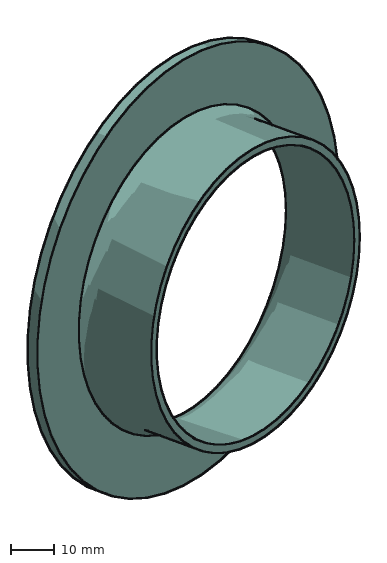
import cadquery as cq
import math

flange_diameter = 110.0
collar_outer_diameter = 76.1
collar_inner_diameter = 72.0
length = 23.0
flange_thickness = 3.0
mouth_radius = 5.1
bend_radius = 3.5
bend_end = 6.0

flange_radius = flange_diameter / 2
outer_radius = collar_outer_diameter / 2
inner_radius = collar_inner_diameter / 2


def arc_point(center, radius, degrees):
    """Point on a circle in the (axial, radial) plane."""
    angle = math.radians(degrees)
    return (center[0] + radius * math.cos(angle), center[1] + radius * math.sin(angle))


mouth_center = (mouth_radius, inner_radius + mouth_radius)
bend_center = (bend_end, outer_radius + bend_radius)

bend_start_angle = 180 + math.degrees(math.acos((bend_end - flange_thickness) / bend_radius))
bend_middle_angle = (bend_start_angle + 270) / 2

result = (
    cq.Workplane("XY")
    .moveTo(length, inner_radius)
    .lineTo(mouth_radius, inner_radius)
    .threePointArc(arc_point(mouth_center, mouth_radius, 225), (0, mouth_center[1]))
    .lineTo(0, flange_radius)
    .lineTo(flange_thickness, flange_radius)
    .lineTo(*arc_point(bend_center, bend_radius, bend_start_angle))
    .threePointArc(arc_point(bend_center, bend_radius, bend_middle_angle), (bend_end, outer_radius))
    .lineTo(length, outer_radius)
    .close()
    .revolve(360, (0, 0, 0), (1, 0, 0))
)